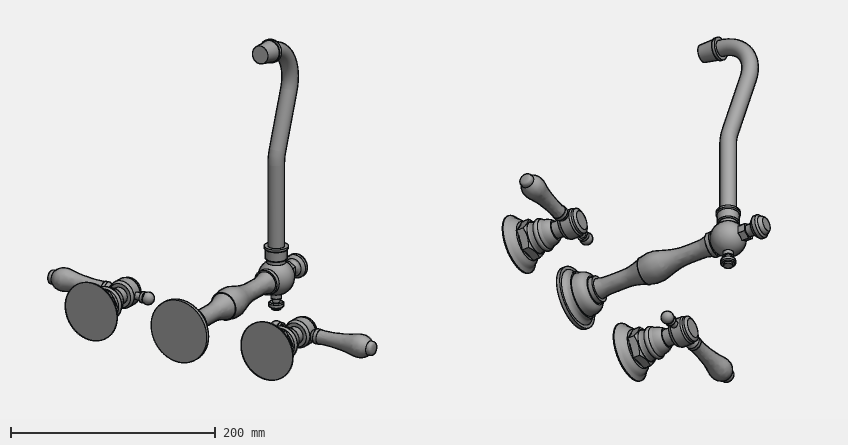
import cadquery as cq
import math


overall_width = 374.5
valve_spacing = 101.5

valve_flange_radius = 30.0
valve_flange_rim = 1.0
valve_ogee_radius = 26.0
valve_ogee_height = 5.0
valve_flange_top_radius = 20.2
valve_flange_top = 10.0
hex_corner_radius = 20.2
hex_bottom = 11.0
hex_seat_radius = 17.0
hex_top = 20.2
hex_chamfer_radius = 17.0
hex_chamfer_height = 2.2
bonnet_foot_radius = 16.5
bonnet_radius = 15.5
bonnet_bead_radius = 17.0
bonnet_bead_bottom = 26.2
bonnet_bead_top = 31.5
bonnet_shoulder_radius = 14.0
bonnet_shoulder = 35.0
bonnet_waist_radius = 13.0
bonnet_waist = 38.2
bonnet_rim_radius = 11.2
bonnet_rim = 41.5
bonnet_top_radius = 10.0
bonnet_top = 43.0
stem_radius = 8.5

hub_bottom = 52.8
hub_top = 73.0
hub_radius = 14.2
hub_foot_radius = 12.5
hub_lower_edge = 56.0
hub_upper_edge = 67.0
hub_cap_radius = 13.0
hub_cap_bottom = 69.0
hub_cap_shoulder = 71.0
hub_crown_radius = 9.7
lever_height = 61.0
rod_radius = 3.7
lever_start = 15.0
lever_start_radius = 5.5
lever_collar_start = 19.0
lever_collar_end = 23.0
lever_collar_radius = 7.5
lever_grip_radius = 7.0
lever_waist_radius = 7.5
lever_waist = 41.2
lever_taper_radius = 9.7
lever_taper = 58.5
lever_swell = 70.8
lever_swell_radius = 11.5
lever_grip_end = 80.0
lever_tip_radius = 7.0
lever_tip_rim = 82.5
lever_end = overall_width / 2 - valve_spacing
finial_collar_start = 20.5
finial_collar_end = 23.5
finial_collar_radius = 5.5
finial_ball_radius = 6.5
finial_ball_centre = 27.5

flange_radius = 32.2
flange_rim = 3.7
flange_cove_start_radius = 29.0
flange_cove_end_radius = 24.0
flange_cove_height = 11.2
dome_base_radius = 22.5
dome_top_radius = 15.0
dome_top = 24.5
foot_ring_radius = 13.5
foot_ring_top = 29.2
column_foot_radius = 10.5
column_radius = 9.0
lower_waist_start = 45.0
lower_waist_end = 60.0
bulb_start = 81.5
bulb_start_radius = 13.5
bulb_ring_radius = 14.2
bulb_ring_width = 2.0
bulb_radius = 15.7
bulb_end = 105.0
upper_waist_start = 131.0
upper_waist_end = 146.0
head_ring_start = 158.8
head_ring_end = 163.3
head_ring_radius = 12.7
column_head_radius = 11.2

head_centre = 178.0
head_radius = 18.0
knob_boss_corner_radius = 8.5
knob_boss_end = 201.5
knob_neck_radius = 6.0
knob_start = 209.0
knob_root_radius = 9.0
knob_rim_radius = 12.0
knob_rim_start = 212.5
knob_rim_end = 216.0
knob_crown_radius = 9.7
knob_crown = 218.0
knob_dome_radius = 8.5
knob_dome = 220.5
knob_end_radius = 7.0
knob_end = 222.0
drain_boss_radius = 5.2
drain_boss_depth = 21.7
drain_neck_radius = 3.7
drain_screw_top = 26.0
drain_screw_bottom = 31.0
drain_screw_radius = 7.5
drain_screw_chamfer = 1.0
drain_tip_radius = 4.5
drain_end = 33.5
socket_neck_radius = 9.5
socket_bottom = 18.7
socket_radius = 11.0
socket_chamfer = 1.0
socket_body_top = 29.2
socket_rim_bottom = 30.5
socket_rim_radius = 12.0
socket_top = 32.5

tube_radius = 8.2
tube_straight_top = 118.5
tube_lean = 20
tube_lean_length = 60.5
tube_bend_radius = 38.0
nozzle_tilt = 6
nozzle_ring_radius = 11.5
nozzle_ring_length = 3.5
nozzle_root_radius = 11.0
nozzle_end_radius = 9.0
nozzle_length = 21.0


def outline():
    """Start a half outline: the first number is a radius, the second a distance along Y."""
    return cq.Workplane("XY")


def turn(half_outline):
    """Revolve a half outline about the Y axis."""
    return half_outline.close().revolve(360, (0, 0, 0), (0, 1, 0))


def turn_along_z(half_outline):
    """Revolve a half outline and stand its axis along +Z."""
    return turn(half_outline).rotate((0, 0, 0), (1, 0, 0), 90)


def turn_along_x(half_outline):
    """Revolve a half outline and lay its axis along +X."""
    return turn(half_outline).rotate((0, 0, 0), (0, 0, 1), -90)


def make_hexagon():
    """Hexagon with corners on the X axis and its top corners chamfered."""
    prism = (
        cq.Workplane("XZ", origin=(0, hex_top, 0))
        .polygon(6, 2 * hex_corner_radius)
        .extrude(hex_top - hex_bottom)
    )
    chamfer_cutter = turn(
        outline()
        .moveTo(0, hex_bottom)
        .lineTo(hex_corner_radius, hex_bottom)
        .lineTo(hex_corner_radius, hex_top - hex_chamfer_height)
        .lineTo(hex_chamfer_radius, hex_top)
        .lineTo(0, hex_top)
    )
    return prism.intersect(chamfer_cutter)


def make_valve_base():
    """Flange, hexagon, beaded bonnet and stem of one valve."""
    body = turn(
        outline()
        .lineTo(valve_flange_radius, 0)
        .lineTo(valve_flange_radius, valve_flange_rim)
        .spline(
            [
                (valve_ogee_radius, valve_ogee_height),
                (valve_flange_top_radius, valve_flange_top),
            ],
            tangents=[(-1, 0.5), (-0.5, 1), (-1, 0.5)],
            includeCurrent=True,
        )
        .lineTo(hex_seat_radius, valve_flange_top)
        .lineTo(hex_seat_radius, hex_top)
        .lineTo(bonnet_foot_radius, hex_top)
        .spline(
            [(bonnet_radius, bonnet_bead_bottom)],
            tangents=[(-1, 0.6), (0, 1)],
            includeCurrent=True,
        )
        .threePointArc(
            (bonnet_bead_radius, (bonnet_bead_bottom + bonnet_bead_top) / 2),
            (bonnet_radius, bonnet_bead_top),
        )
        .lineTo(bonnet_shoulder_radius, bonnet_shoulder)
        .threePointArc((bonnet_waist_radius, bonnet_waist), (bonnet_rim_radius, bonnet_rim))
        .lineTo(bonnet_top_radius, bonnet_top)
        .lineTo(stem_radius, bonnet_top)
        .lineTo(stem_radius, hub_bottom)
        .lineTo(0, hub_bottom)
    )
    return body.union(make_hexagon())


def make_hub():
    """Round hub that sits on the end of the valve stem."""
    return turn(
        outline()
        .moveTo(0, hub_bottom)
        .lineTo(hub_foot_radius, hub_bottom)
        .lineTo(hub_radius, hub_lower_edge)
        .lineTo(hub_radius, hub_upper_edge)
        .lineTo(hub_cap_radius, hub_cap_bottom)
        .lineTo(hub_cap_radius, hub_cap_shoulder)
        .lineTo(hub_crown_radius, hub_top)
        .lineTo(0, hub_top)
    )


def make_lever():
    """Pear-shaped lever along +X, starting on the hub axis."""
    return turn_along_x(
        outline()
        .lineTo(rod_radius, 0)
        .lineTo(rod_radius, lever_start)
        .lineTo(lever_start_radius, lever_start)
        .lineTo(lever_collar_radius, lever_collar_start)
        .lineTo(lever_collar_radius, lever_collar_end)
        .lineTo(lever_grip_radius, lever_collar_end)
        .spline(
            [
                (lever_waist_radius, lever_waist),
                (lever_taper_radius, lever_taper),
                (lever_swell_radius, lever_swell),
                (lever_tip_radius, lever_grip_end),
            ],
            includeCurrent=True,
        )
        .lineTo(lever_tip_radius, lever_tip_rim)
        .spline([(0, lever_end)], tangents=[(0, 1), (-1, 0)], includeCurrent=True)
    )


def make_finial():
    """Rod, collar and ball along -X, opposite the lever."""
    rod = turn_along_x(
        outline()
        .lineTo(rod_radius, 0)
        .lineTo(rod_radius, finial_collar_start)
        .lineTo(finial_collar_radius, finial_collar_start)
        .lineTo(finial_collar_radius, finial_collar_end)
        .lineTo(0, finial_collar_end)
    ).rotate((0, 0, 0), (0, 1, 0), 180)
    ball = cq.Workplane("XY").sphere(finial_ball_radius).translate((-finial_ball_centre, 0, 0))
    return rod.union(ball)


def make_lever_handle():
    """Hub with its lever and ball finial."""
    cross_arm = make_lever().union(make_finial()).translate((0, lever_height, 0))
    return make_hub().union(cross_arm)


def make_spout_column():
    """Wall flange, dome, bulb and flared neck along the Y axis."""
    bulb_ring_top = bulb_start + bulb_ring_width
    return turn(
        outline()
        .lineTo(flange_radius, 0)
        .lineTo(flange_radius, flange_rim)
        .lineTo(flange_cove_start_radius, flange_rim)
        .spline(
            [(flange_cove_end_radius, flange_cove_height)],
            tangents=[(-1, 0.6), (0, 1)],
            includeCurrent=True,
        )
        .lineTo(dome_base_radius, flange_cove_height)
        .spline(
            [(dome_top_radius, dome_top)],
            tangents=[(0, 1), (-1, 0.3)],
            includeCurrent=True,
        )
        .lineTo(foot_ring_radius, dome_top)
        .lineTo(foot_ring_radius, foot_ring_top)
        .lineTo(column_foot_radius, foot_ring_top)
        .spline(
            [
                (column_radius, lower_waist_start),
                (column_radius, lower_waist_end),
                (bulb_start_radius, bulb_start),
            ],
            tangents=[(-0.3, 1), (0, 1), (0, 1), (0.3, 1)],
            includeCurrent=True,
        )
        .lineTo(bulb_ring_radius, bulb_start)
        .lineTo(bulb_ring_radius, bulb_ring_top)
        .threePointArc(
            (bulb_radius, (bulb_ring_top + bulb_end) / 2),
            (bulb_start_radius, bulb_end),
        )
        .spline(
            [
                (column_radius, upper_waist_start),
                (column_radius, upper_waist_end),
                (column_head_radius, head_ring_start),
            ],
            tangents=[(-0.3, 1), (0, 1), (0, 1), (0.3, 1)],
            includeCurrent=True,
        )
        .lineTo(head_ring_radius, head_ring_start)
        .lineTo(head_ring_radius, head_ring_end)
        .lineTo(column_radius, head_ring_end)
        .lineTo(column_radius, head_centre)
        .lineTo(0, head_centre)
    )


def make_knob():
    """Hexagonal boss, neck and turned knob on the far side of the ball head."""
    boss = (
        cq.Workplane("XZ", origin=(0, knob_boss_end, 0))
        .polygon(6, 2 * knob_boss_corner_radius)
        .extrude(knob_boss_end - head_centre)
        .rotate((0, 0, 0), (0, 1, 0), 30)
    )
    knob = turn(
        outline()
        .moveTo(0, head_centre)
        .lineTo(knob_neck_radius, head_centre)
        .lineTo(knob_neck_radius, knob_boss_end)
        .spline(
            [(knob_root_radius, knob_start)],
            tangents=[(0, 1), (1, 0.3)],
            includeCurrent=True,
        )
        .lineTo(knob_rim_radius, knob_rim_start)
        .lineTo(knob_rim_radius, knob_rim_end)
        .lineTo(knob_crown_radius, knob_crown)
        .threePointArc((knob_dome_radius, knob_dome), (knob_end_radius, knob_end))
        .lineTo(0, knob_end)
    )
    return boss.union(knob)


def make_drain_screw():
    """Screw below the ball head, along -Z from the head centre."""
    return turn_along_z(
        outline()
        .lineTo(drain_boss_radius, 0)
        .lineTo(drain_boss_radius, -drain_boss_depth)
        .lineTo(drain_neck_radius, -drain_boss_depth)
        .lineTo(drain_neck_radius, -drain_screw_top)
        .lineTo(drain_screw_radius - drain_screw_chamfer, -drain_screw_top)
        .lineTo(drain_screw_radius, -drain_screw_top - drain_screw_chamfer)
        .lineTo(drain_screw_radius, -drain_screw_bottom + drain_screw_chamfer)
        .lineTo(drain_screw_radius - drain_screw_chamfer, -drain_screw_bottom)
        .lineTo(drain_tip_radius, -drain_screw_bottom)
        .lineTo(drain_tip_radius, -drain_end)
        .lineTo(0, -drain_end)
    )


def make_socket():
    """Rimmed socket above the ball head that carries the tube."""
    return turn_along_z(
        outline()
        .lineTo(socket_neck_radius, 0)
        .lineTo(socket_neck_radius, socket_bottom)
        .lineTo(socket_radius - socket_chamfer, socket_bottom)
        .lineTo(socket_radius, socket_bottom + socket_chamfer)
        .lineTo(socket_radius, socket_body_top)
        .lineTo(socket_rim_radius, socket_rim_bottom)
        .lineTo(socket_rim_radius, socket_top)
        .lineTo(0, socket_top)
    )


def make_gooseneck():
    """Tube and nozzle, starting at the head centre: up, leaning out, then bent back over."""
    lean = math.radians(tube_lean)
    tilt = math.radians(nozzle_tilt)

    lean_start_y = tube_bend_radius * (1 - math.cos(lean))
    lean_start_z = tube_straight_top + tube_bend_radius * math.sin(lean)
    lean_end_y = lean_start_y + tube_lean_length * math.sin(lean)
    lean_end_z = lean_start_z + tube_lean_length * math.cos(lean)
    bend_centre_y = lean_end_y - tube_bend_radius * math.cos(lean)
    bend_centre_z = lean_end_z + tube_bend_radius * math.sin(lean)
    nozzle_y = bend_centre_y + tube_bend_radius * math.sin(tilt)
    nozzle_z = bend_centre_z + tube_bend_radius * math.cos(tilt)
    mid_angle = (math.pi / 2 - tilt - lean) / 2

    path = (
        cq.Workplane("YZ")
        .lineTo(0, tube_straight_top)
        .tangentArcPoint((lean_start_y, lean_start_z), relative=False)
        .lineTo(lean_end_y, lean_end_z)
        .threePointArc(
            (
                bend_centre_y + tube_bend_radius * math.cos(mid_angle),
                bend_centre_z + tube_bend_radius * math.sin(mid_angle),
            ),
            (nozzle_y, nozzle_z),
        )
    )
    tube = cq.Workplane("XY").circle(tube_radius).sweep(path)
    nozzle = (
        turn(
            outline()
            .lineTo(nozzle_ring_radius, 0)
            .lineTo(nozzle_ring_radius, nozzle_ring_length)
            .lineTo(nozzle_root_radius, nozzle_ring_length)
            .lineTo(nozzle_end_radius, nozzle_length)
            .lineTo(0, nozzle_length)
        )
        .rotate((0, 0, 0), (1, 0, 0), 180 - nozzle_tilt)
        .translate((0, nozzle_y, nozzle_z))
    )
    return tube.union(nozzle)


def make_spout():
    """Complete spout body."""
    head = (
        cq.Workplane("XY")
        .sphere(head_radius)
        .union(make_drain_screw())
        .union(make_socket())
        .union(make_gooseneck())
        .translate((0, head_centre, 0))
    )
    return make_spout_column().union(head).union(make_knob())


def place_at_valve(body, side):
    """Move a valve body to the +X (1) or -X (-1) side, with +X of the body pointing outward."""
    turn_angle = 0 if side > 0 else 180
    return body.rotate((0, 0, 0), (0, 1, 0), turn_angle).translate((side * valve_spacing, 0, 0))


spout = make_spout()
valve_bases = []
lever_handles = []
for side in (-1, 1):
    valve_bases.append(place_at_valve(make_valve_base(), side).val())
    lever_handles.append(place_at_valve(make_lever_handle(), side).val())

result = cq.Compound.makeCompound([spout.val(), *valve_bases, *lever_handles])